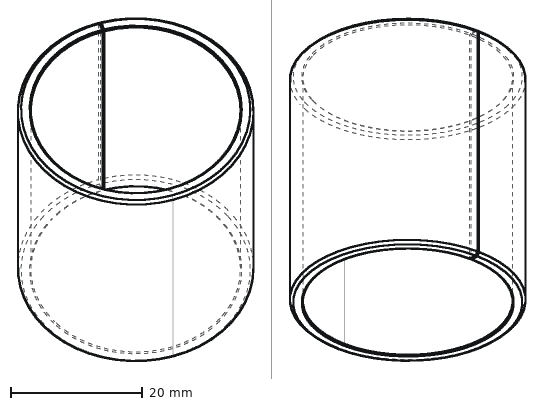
import cadquery as cq
import math

outer_diameter = 36.0
inner_diameter = 32.0
length = 40.0
outer_chamfer = 0.5
inner_chamfer = 0.2
gap_angle = 1.0

outer_radius = outer_diameter / 2
inner_radius = inner_diameter / 2
half_length = length / 2


def make_sleeve():
    """Tube with the inner and outer edges of both rims chamfered, revolved about Z."""
    outer_rim = outer_radius - outer_chamfer
    inner_rim = inner_radius + inner_chamfer
    profile = (
        cq.Workplane("XZ")
        .moveTo(inner_rim, -half_length)
        .lineTo(outer_rim, -half_length)
        .lineTo(outer_radius, -half_length + outer_chamfer)
        .lineTo(outer_radius, half_length - outer_chamfer)
        .lineTo(outer_rim, half_length)
        .lineTo(inner_rim, half_length)
        .lineTo(inner_radius, half_length - inner_chamfer)
        .lineTo(inner_radius, -half_length + inner_chamfer)
        .close()
    )
    return profile.revolve(360, (0, 0, 0), (0, 1, 0))


def make_gap():
    """Full-length radial wedge through the -X wall, from the plane Y = 0 toward +Y."""
    reach = 2 * outer_radius
    angle = math.radians(gap_angle)
    wedge = (
        cq.Workplane("XY")
        .lineTo(-reach, 0)
        .lineTo(-reach * math.cos(angle), reach * math.sin(angle))
        .close()
    )
    return wedge.extrude(half_length, both=True)


result = make_sleeve().cut(make_gap())